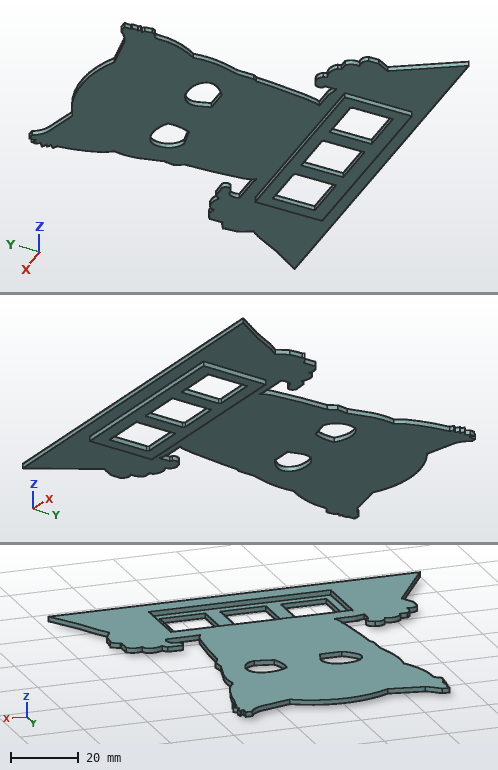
import cadquery as cq


base_width = 116.9
total_thickness = 3.0
plate_thickness = 1.5
tray_thickness = total_thickness - plate_thickness

pocket_center_x = 58.9
pocket_center_y = 15.7
pocket_width = 57.2
pocket_height = 19.1
tray_wall = 1.5
tray_width = pocket_width + 2 * tray_wall
tray_height = pocket_height + 2 * tray_wall

window_center_y = 15.9
window_count = 3
window_width = 14.3
window_height = 13.8
window_pitch = 19.1
window_corner_cut = 0.6

right_arm = [(110.8, 9.2), (107.1, 16.3), (104.9, 19.5)]
right_hand = [
    (107.0, 23.3),
    (107.3, 27.5),
    (107.7, 28.2),
    (105.1, 29.8),
    (104.8, 29.7),
    (104.8, 33.9),
    ((103.6, 34.8), (100.1, 35.0)),
    ((99.6, 36.1), (98.5, 37.0)),
    ((96.2, 37.0), (94.2, 36.1)),
    (93.1, 37.7),
    (88.9, 37.8),
    ((87.7, 36.4), (89.0, 34.8)),
    (90.7, 34.4),
    ((91.4, 33.0), (91.1, 30.9)),
]
right_neck = [(82.1, 30.9), (80.2, 30.6), ((81.3, 32.6), (81.7, 35.1)), (82.5, 43.8), (82.9, 52.9)]
right_cheek = [
    (84.5, 55.5),
    (84.1, 59.2),
    (85.4, 64.3),
    ((86.3, 69.3), (86.0, 74.6)),
    (87.8, 77.3),
    ((89.9, 84.0), (91.1, 91.0)),
]
right_ear = [
    (92.4, 91.7),
    (91.4, 92.8),
    (92.7, 93.7),
    (91.8, 94.1),
    (93.2, 95.0),
    (91.8, 96.1),
    (92.6, 97.3),
    (92.4, 98.9),
    (91.7, 98.1),
    (91.1, 98.1),
    (91.1, 100.2),
    (89.1, 100.2),
    ((87.3, 98.0), (84.8, 96.6)),
    (75.0, 93.9),
]
crown = [((59.6, 98.6), (44.5, 95.0))]
left_ear = [
    (33.5, 96.9),
    ((31.5, 98.2), (29.3, 100.2)),
    (27.0, 100.2),
    (27.1, 98.1),
    (26.7, 97.9),
    (26.7, 96.1),
    (27.0, 95.8),
    (26.3, 95.3),
    (27.0, 94.4),
    (26.3, 93.9),
    (26.2, 92.3),
    (26.0, 91.5),
    (26.5, 90.4),
]
left_cheek = [
    ((27.6, 89.9), (28.2, 88.4)),
    (28.3, 85.4),
    ((29.8, 79.7), (32.3, 75.0)),
    ((32.0, 69.5), (32.9, 64.3)),
    (34.1, 59.5),
    (34.3, 54.0),
]
left_neck = [(35.0, 52.9), (35.3, 47.9), (36.6, 36.2), (37.4, 31.9), (38.0, 30.6)]
left_hand = [
    (31.8, 30.6),
    (28.3, 29.8),
    (28.4, 33.5),
    (29.2, 33.8),
    ((29.1, 36.1), (27.5, 37.0)),
    ((25.5, 37.1), (24.2, 36.1)),
    (23.7, 35.0),
    ((21.0, 35.4), (18.5, 34.1)),
    (18.4, 33.0),
    (15.9, 33.0),
    ((14.7, 31.6), (14.5, 28.9)),
    ((12.0, 28.9), (10.9, 27.7)),
    (10.9, 24.3),
    (13.1, 20.3),
]
outline_steps = (
    right_arm + right_hand + right_neck + right_cheek + right_ear
    + crown + left_ear + left_cheek + left_neck + left_hand
)

left_eye_rim = [
    (52.9, 58.9),
    (53.8, 62.0),
    (54.3, 64.5),
    (52.6, 67.6),
    (47.9, 68.9),
    (43.6, 67.6),
    (41.7, 64.5),
    (43.3, 61.3),
    (46.0, 58.9),
]
left_eye_lid = [left_eye_rim[0]]
right_eye_rim = [
    (66.1, 66.8),
    (69.3, 68.3),
    (73.4, 68.6),
    (76.8, 67.0),
    (77.8, 64.1),
    (76.4, 59.9),
    (73.1, 57.9),
]
right_eye_lid = [(67.4, 59.2), ((66.2, 62.7), right_eye_rim[0])]


def draw_steps(path, steps):
    """Extend a path with straight edges and three-point arcs."""
    for step in steps:
        if isinstance(step[0], tuple):
            mid_point, end_point = step
            path = path.threePointArc(mid_point, end_point)
        else:
            path = path.lineTo(*step)
    return path


def make_plate():
    path = cq.Workplane("XY").moveTo(0, 0).lineTo(base_width, 0)
    return draw_steps(path, outline_steps).close().extrude(plate_thickness)


def make_eye(rim, lid):
    path = cq.Workplane("XY").moveTo(*rim[0]).spline(rim[1:], includeCurrent=True)
    return draw_steps(path, lid).close().extrude(plate_thickness)


def make_block(center_y, width, height, bottom, top):
    """Box on the pocket's vertical centre line, between two Z levels."""
    return (
        cq.Workplane("XY", origin=(pocket_center_x, center_y, bottom))
        .rect(width, height)
        .extrude(top - bottom)
    )


def make_window(index):
    """Opening through the tray floor, with its upper left corner cut off."""
    offset = (index - (window_count - 1) / 2) * window_pitch
    window = make_block(window_center_y, window_width, window_height, -tray_thickness, 0)
    window = window.edges("|Z and <X and >Y").chamfer(window_corner_cut)
    return window.translate((offset, 0, 0))


result = make_plate()
result = result.cut(make_eye(left_eye_rim, left_eye_lid))
result = result.cut(make_eye(right_eye_rim, right_eye_lid))
result = result.union(make_block(pocket_center_y, tray_width, tray_height, -tray_thickness, 0))
result = result.cut(make_block(pocket_center_y, pocket_width, pocket_height, 0, plate_thickness))
for index in range(window_count):
    result = result.cut(make_window(index))